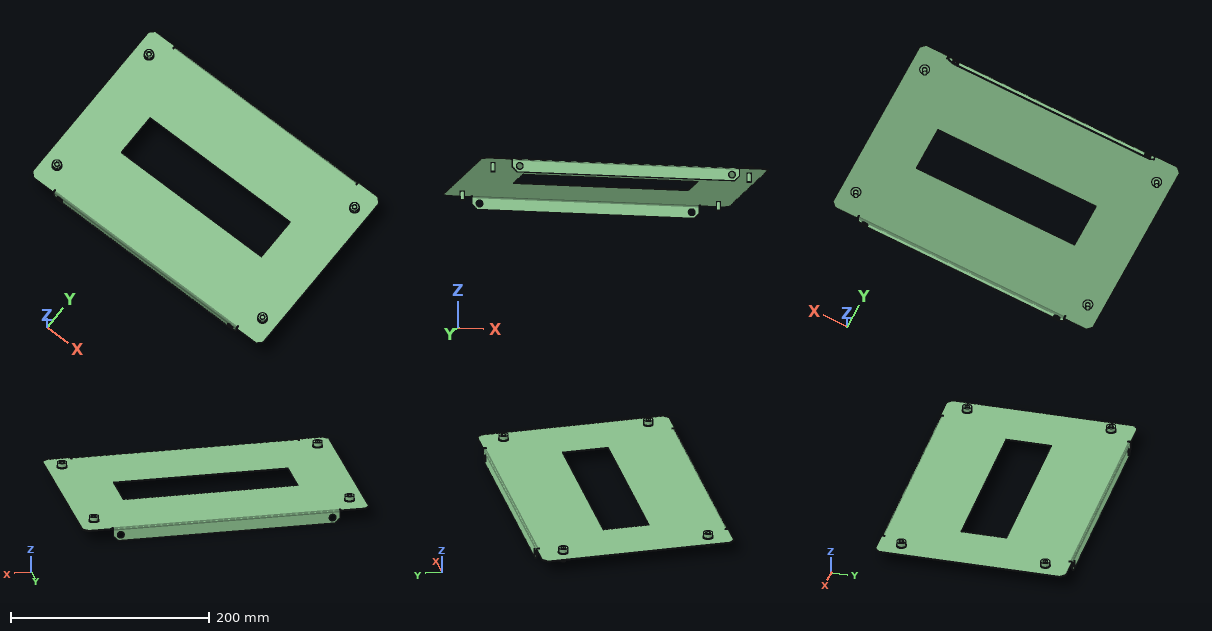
import cadquery as cq
import math

plate_length = 296.0
plate_width = 199.0
sheet = 1.0
corner_cut = 5.0
window_length = 180.0
window_width = 47.0

flange_length = 234.0
flange_drop = 14.0
flange_corner_cut = 5.0
bend_outer_radius = 1.8
bend_inner_radius = bend_outer_radius - sheet
relief_width = 1.0
relief_depth = 3.3
flange_hole_diameter = 6.8
flange_hole_spacing = 218.7
flange_hole_drop = 7.7

screw_spacing_x = 264.0
screw_spacing_y = 150.0
overall_height = 19.2
washer_diameter = 10.0
washer_thickness = 1.0
head_diameter = 9.2
head_top = overall_height - flange_drop
shank_diameter = 4.5
shank_reach = 9.8
socket_across_flats = 4.5
socket_depth = 2.0
socket_turn = 45


def make_flange():
    """Bend and wall of the flange on the -Y side, with its two holes."""
    outer_y = -plate_width / 2
    inner_y = outer_y + sheet
    bend_y = outer_y + bend_outer_radius
    bend_z = -bend_outer_radius
    outer_mid = bend_outer_radius * math.sqrt(0.5)
    inner_mid = bend_inner_radius * math.sqrt(0.5)
    flange = (
        cq.Workplane("YZ")
        .moveTo(bend_y, 0)
        .threePointArc((bend_y - outer_mid, bend_z + outer_mid), (outer_y, bend_z))
        .lineTo(outer_y, -flange_drop)
        .lineTo(inner_y, -flange_drop)
        .lineTo(inner_y, bend_z)
        .threePointArc((bend_y - inner_mid, bend_z + inner_mid), (bend_y, -sheet))
        .close()
        .extrude(flange_length / 2, both=True)
    )
    flange = flange.faces("<Z").edges("|Y").chamfer(flange_corner_cut)
    holes = (
        cq.Workplane("XZ", origin=(0, inner_y + sheet, -flange_hole_drop))
        .rarray(flange_hole_spacing, 3, 2, 1)
        .circle(flange_hole_diameter / 2)
        .extrude(3 * sheet)
    )
    return flange.cut(holes)


def make_plate():
    """Sheet with cut corners, window, flanges, bend reliefs and screw holes."""
    plate = (
        cq.Workplane("XY")
        .rect(plate_length, plate_width)
        .extrude(-sheet)
        .edges("|Z")
        .chamfer(corner_cut)
    )
    plate = plate.cut(cq.Workplane("XY").rect(window_length, window_width).extrude(-sheet))
    screw_holes = (
        cq.Workplane("XY")
        .rarray(screw_spacing_x, screw_spacing_y, 2, 2)
        .circle(shank_diameter / 2)
        .extrude(-sheet)
    )
    plate = plate.cut(screw_holes)

    for side in (-1, 1):
        bend_gap = cq.Workplane("XY").center(0, side * plate_width / 2)
        plate = plate.cut(bend_gap.rect(flange_length, 2 * bend_outer_radius).extrude(-sheet))
        reliefs = bend_gap.rarray(flange_length + relief_width, 3, 2, 1)
        plate = plate.cut(reliefs.rect(relief_width, 2 * relief_depth).extrude(-sheet))

    flange = make_flange()
    return plate.union(flange).union(flange.mirror("XZ"))


def make_washer(x, y):
    """Flat washer resting on the plate."""
    return (
        cq.Workplane("XY", origin=(x, y, 0))
        .circle(washer_diameter / 2)
        .circle(shank_diameter / 2)
        .extrude(washer_thickness)
    )


def make_screw(x, y, socket_angle):
    """Cylindrical-head screw with a hexagon socket turned by socket_angle about Z."""
    shank = (
        cq.Workplane("XY", origin=(x, y, -shank_reach))
        .circle(shank_diameter / 2)
        .extrude(shank_reach + washer_thickness)
    )
    head = (
        cq.Workplane("XY", origin=(x, y, washer_thickness))
        .circle(head_diameter / 2)
        .extrude(head_top - washer_thickness)
    )
    socket = (
        cq.Workplane("XY", origin=(x, y, head_top))
        .transformed(rotate=(0, 0, socket_angle))
        .polygon(6, socket_across_flats, circumscribed=True)
        .extrude(-socket_depth)
    )
    return shank.union(head).cut(socket)


plate = make_plate()

washers = []
screws = []
for side_x in (-1, 1):
    for side_y in (-1, 1):
        screw_x = side_x * screw_spacing_x / 2
        screw_y = side_y * screw_spacing_y / 2
        washers.append(make_washer(screw_x, screw_y).val())
        socket_angle = side_x * side_y * socket_turn
        screws.append(make_screw(screw_x, screw_y, socket_angle).val())

result = cq.Compound.makeCompound([plate.val(), *washers, *screws])